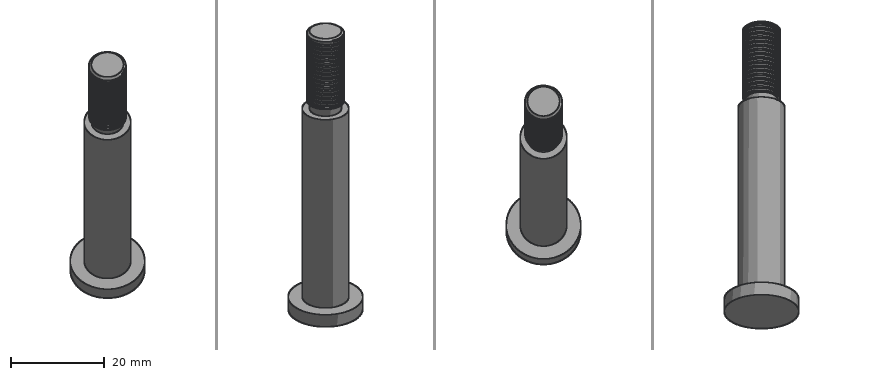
import cadquery as cq

total_length = 68.0
head_diameter = 16.0
head_height = 3.0
shank_diameter = 10.0
shank_length = 46.05
neck_diameter = 6.9
neck_length = 2.0
thread_diameter = 8.0
tip_chamfer_width = 0.58
tip_chamfer_height = 0.5

pitches_in_thread = 17
groove_width = 0.51
groove_depth = 0.3
groove_overcut = 0.1
groove_run_in = 0.5

shank_top = head_height + shank_length
thread_start = shank_top + neck_length
thread_length = total_length - thread_start
pitch = thread_length / pitches_in_thread
crest_radius = thread_diameter / 2
root_radius = crest_radius - groove_depth


def cylinder(diameter, bottom, top):
    """Cylinder about the Z axis between two heights."""
    return cq.Workplane("XY").workplane(offset=bottom).circle(diameter / 2).extrude(top - bottom)


def threaded_end():
    """Chamfered threaded end with a left-hand V groove."""
    blank = cylinder(thread_diameter, thread_start, total_length)
    blank = blank.faces(">Z").edges().chamfer(tip_chamfer_height, tip_chamfer_width)

    groove_start = thread_start - groove_run_in
    groove_height = total_length - tip_chamfer_height - groove_start
    foot = cq.Vector(0, 0, groove_start)
    helix = cq.Wire.makeHelix(pitch, groove_height, crest_radius, foot, lefthand=True)

    half_mouth = groove_width / 2 * (groove_depth + groove_overcut) / groove_depth
    outer_radius = crest_radius + groove_overcut
    cutter = (
        cq.Workplane("XZ")
        .moveTo(root_radius, groove_start)
        .lineTo(outer_radius, groove_start + half_mouth)
        .lineTo(outer_radius, groove_start - half_mouth)
        .close()
        .sweep(cq.Workplane(obj=helix), isFrenet=True)
    )
    return blank.cut(cutter)


head = cylinder(head_diameter, 0, head_height)
shank = cylinder(shank_diameter, head_height, shank_top)
neck = cylinder(neck_diameter, shank_top, thread_start)

result = head.union(shank).union(neck).union(threaded_end())